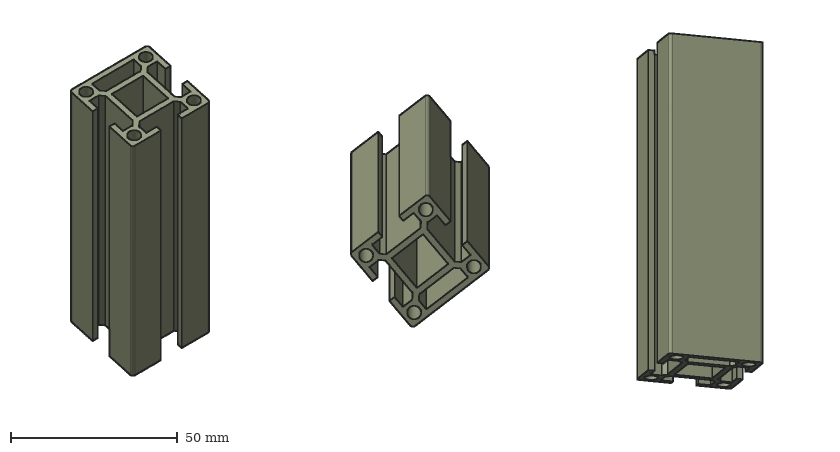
import cadquery as cq

side = 30.0
length = 100.0
corner_radius = 1.0

wall = 2.0
slot_opening = 8.0
channel_width = 16.0
channel_chamfer = 1.4

core_width = 12.0
bore_diameter = 4.2
bore_spacing = 23.0

half_side = side / 2
channel_floor = channel_width / 2
channel_top = half_side - wall
open_face_angles = (0, 90, 270)
closed_face_angle = 180


def channel(angle):
    """Chamfered channel behind the face that points at the given angle from +X."""
    depth = channel_top - channel_floor
    return (
        cq.Workplane("XY")
        .center(channel_floor + depth / 2, 0)
        .rect(depth, channel_width)
        .extrude(length)
        .edges("|Z and <X")
        .chamfer(channel_chamfer)
        .rotate((0, 0, 0), (0, 0, 1), angle)
    )


def opening(angle):
    """Gap between the lips, joining the channel to the outside."""
    return (
        cq.Workplane("XY")
        .center(channel_top, 0)
        .rect(2 * wall, slot_opening)
        .extrude(length)
        .rotate((0, 0, 0), (0, 0, 1), angle)
    )


result = cq.Workplane("XY").rect(side, side).extrude(length).edges("|Z").fillet(corner_radius)

result = result.cut(cq.Workplane("XY").rect(core_width, core_width).extrude(length))

bores = (
    cq.Workplane("XY")
    .rect(bore_spacing, bore_spacing, forConstruction=True)
    .vertices()
    .circle(bore_diameter / 2)
    .extrude(length)
)
result = result.cut(bores)

result = result.cut(channel(closed_face_angle))
for face_angle in open_face_angles:
    result = result.cut(channel(face_angle)).cut(opening(face_angle))